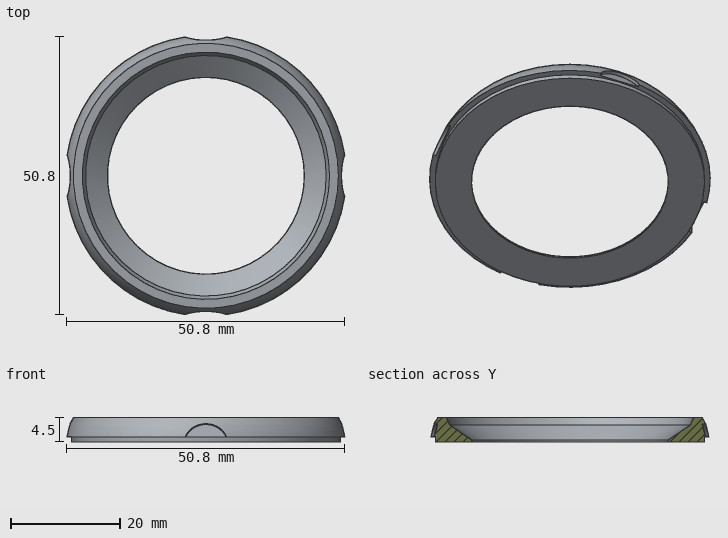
import cadquery as cq
import math

height = 4.5
flange_z = 0.95
seat_z = 3.15
lip_height = 0.4

spigot_radius = 49.3 / 2
bore_radius = 36.0 / 2
top_outer_radius = 24.25
top_inner_radius = 22.6
funnel_radius = 22.0
flare_bulge = 0.15

scallop_radius = 4.1
scallop_drop = 1.8
scallop_floor = 24.85
scallop_tilt = 15
scallop_count = 4
cutter_length = 2.55
outer_size = 50.8
rim_half_width = 3.8

rim_radius = math.hypot(outer_size / 2, rim_half_width)


def ring():
    """Revolved ring with a bowed flare outside and a funnel inside."""
    flare_middle = ((rim_radius + top_outer_radius) / 2 + flare_bulge, (flange_z + height) / 2)
    profile = (
        cq.Workplane("XZ")
        .moveTo(bore_radius, 0)
        .lineTo(spigot_radius, 0)
        .lineTo(spigot_radius, flange_z)
        .lineTo(rim_radius, flange_z)
        .threePointArc(flare_middle, (top_outer_radius, height))
        .lineTo(top_inner_radius, height)
        .lineTo(funnel_radius, seat_z)
        .lineTo(bore_radius, lip_height)
        .close()
    )
    return profile.revolve(360, (0, 0, 0), (0, 1, 0))


def scallop_cutter():
    """Disc cutter, tilted so that its flat end leans with the flare, and kept above the spigot."""
    tilt = math.radians(scallop_tilt)
    floor_normal = (math.cos(tilt), 0, math.sin(tilt))
    floor_plane = cq.Plane((scallop_floor, 0, flange_z), xDir=(0, 1, 0), normal=floor_normal)
    above_flange = cq.Workplane("XY", origin=(0, 0, flange_z)).circle(outer_size).extrude(height)
    return (
        cq.Workplane(floor_plane)
        .center(0, -scallop_drop)
        .circle(scallop_radius)
        .extrude(cutter_length)
        .intersect(above_flange)
    )


result = ring()
cutter = scallop_cutter()
for index in range(scallop_count):
    angle = index * 360 / scallop_count
    result = result.cut(cutter.rotate((0, 0, 0), (0, 0, 1), angle))